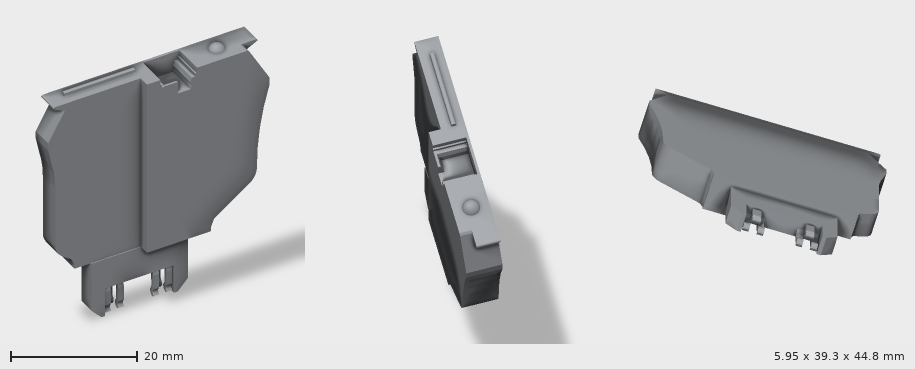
import cadquery as cq


HOUSING_THICK = 5.95
SLIM_THICK = 3.95
HOUSING_TOP = 32.75
SHOULDER_Y = 19.67
SHOULDER_TOP = 26.15
FLANGE_Y = 18.68
FLANGE_EDGE = 0.35
FLANGE_ROUND = 0.3
NECK_Y = 16.63
NECK_Z = 31.4
THICK_FRONT_Y = -2.75
THICK_TOP_BACK_Y = 15.6
BOTTOM_FRONT_Y = -14.88
BOTTOM_BACK_Y = 9.0
BOTTOM_EDGE = 0.76
FRONT_GRIP_Y = -18.37
BACK_SHOULDER_END_Z = 24.5
BACK_SIDE_MID = (18.32, 19.1)
BACK_SIDE_END = (17.4, 9.3)
BACK_CORNER_MID = (17.02, 7.9)
BACK_CORNER_END = (15.9, 6.65)
BACK_SLOPE_END = (9.5, 2.15)
FRONT_SLOPE_START = (-15.35, 2.0)
FRONT_CORNER_START = (-16.7, 2.95)
FRONT_CORNER_MID = (-17.93, 4.15)
FRONT_CORNER_END_Z = 5.76
FRONT_GRIP_TOP_Z = 17.0
FRONT_HOLLOW_MID = (-18.55, 19.45)
FRONT_HOLLOW_END = (-19.05, 21.85)
FRONT_FLARE_END = (-19.6, 24.36)
FRONT_SHOULDER_START_Z = 24.78
THICK_TOP_BREAK = (16.0, 32.5)

RECESS_BACK_Y = 6.39
RECESS_FRONT_Y = -0.3
RECESS_WALL = 0.45
RECESS_FLOOR = HOUSING_TOP - 3.75
STEP_Z = HOUSING_TOP - 1.0
LEDGE_Z = HOUSING_TOP - 1.58
NOSE_Z = HOUSING_TOP - 2.45
GROOVE_Z = HOUSING_TOP - 3.05
STEP_WIDTH = 0.28
LEDGE_WIDTH = 0.9
NOSE_WIDTH = 1.2
GROOVE_WIDTH = 0.95
FLOOR_WIDTH = 1.15

CATCH_BACK_Y = 2.91
CATCH_TOP = HOUSING_TOP - 1.5
CATCH_FRONT_Y = 0.51
CATCH_FOOT_X = 4.9
CATCH_TOP_X = 5.55

RAIL_FRONT_Y = -15.7
RAIL_BACK_Y = -2.75
RAIL_X = 1.84
RAIL_HEIGHT = 0.73
RAIL_CROWN = 0.14
RAIL_HALF = 0.35
RAIL_FOOT_HALF = 0.64
RAIL_HOLLOW = (0.47, 0.05)
RAIL_WALL = (0.38, 0.15)

PLUG_Y = -3.02
PLUG_HALF = 8.84
PLUG_X = 1.04
PLUG_THICK = 3.06
LEG_INNER = 6.3
LEG_TOE = 6.98
PLUG_BOTTOM = -11.1
LEG_CHAMFER_Z = -9.15
PLUG_CEILING = -5.73

CONTACT_OUTER = 6.14
SIDE_FINGER = 1.04
MIDDLE_FINGER = 1.36
CONTACT_WIDTH = 2 * SIDE_FINGER + MIDDLE_FINGER
FINGER_THICK = 0.65
FINGER_OUT = 1.25
OUTER_ROOT = (0.65, PLUG_CEILING)
OUTER_SHOULDER = (1.05, -6.15)
OUTER_STRAIGHT_TOP = (FINGER_OUT, -6.7)
OUTER_STRAIGHT_END = (FINGER_OUT, -9.15)
OUTER_BEND = (1.19, -9.45)
OUTER_BEND_END = (1.02, -9.7)
OUTER_WAIST = (0.93, -9.97)
OUTER_WAIST_END = (1.02, -10.25)
OUTER_TIP = (1.33, -10.6)
INNER_TIP = (0.9, -10.87)
INNER_PINCH = (0.2, -10.0)
INNER_PINCH_TOP = (0.5, -9.28)
INNER_STRAIGHT_END = (FINGER_OUT - FINGER_THICK, -8.96)
INNER_STRAIGHT_TOP = (FINGER_OUT - FINGER_THICK, -6.6)
INNER_SHOULDER = (0.45, -6.1)
INNER_ROOT = (0.1, PLUG_CEILING)

LED_X = 2.97
LED_Y = 11.75
LED_RADIUS = 1.42
LED_HEIGHT = 0.95


def extrude_along_x(profile, start_x, length):
    """Extrude a closed YZ profile from start_x by length."""
    return profile.close().extrude(length).translate((start_x, 0, 0))


def yz_start(y, z):
    return cq.Workplane("YZ").moveTo(y, z)


def box_between(x0, x1, y0, y1, z0, z1):
    return cq.Workplane("XY").box(x1 - x0, y1 - y0, z1 - z0, centered=False).translate((x0, y0, z0))


def body_outline(profile):
    """Continue a profile from the back neck around the bottom to the front neck."""
    return (
        profile
        .lineTo(SHOULDER_Y, SHOULDER_TOP)
        .lineTo(SHOULDER_Y, BACK_SHOULDER_END_Z)
        .threePointArc(BACK_SIDE_MID, BACK_SIDE_END)
        .threePointArc(BACK_CORNER_MID, BACK_CORNER_END)
        .lineTo(*BACK_SLOPE_END)
        .lineTo(BOTTOM_BACK_Y, BOTTOM_EDGE)
        .lineTo(BOTTOM_BACK_Y, 0)
        .lineTo(BOTTOM_FRONT_Y, 0)
        .lineTo(BOTTOM_FRONT_Y, BOTTOM_EDGE)
        .lineTo(*FRONT_SLOPE_START)
        .lineTo(*FRONT_CORNER_START)
        .threePointArc(FRONT_CORNER_MID, (FRONT_GRIP_Y, FRONT_CORNER_END_Z))
        .lineTo(FRONT_GRIP_Y, FRONT_GRIP_TOP_Z)
        .threePointArc(FRONT_HOLLOW_MID, FRONT_HOLLOW_END)
        .lineTo(*FRONT_FLARE_END)
        .lineTo(-SHOULDER_Y, FRONT_SHOULDER_START_Z)
        .lineTo(-SHOULDER_Y, SHOULDER_TOP)
        .lineTo(-NECK_Y, NECK_Z)
    )


def slim_housing():
    """The flanged plate that carries the whole outline."""
    edge_z = HOUSING_TOP - FLANGE_EDGE
    profile = body_outline(yz_start(FLANGE_Y, HOUSING_TOP).lineTo(FLANGE_Y, edge_z).lineTo(NECK_Y, NECK_Z))
    profile = profile.lineTo(-FLANGE_Y, edge_z).lineTo(-FLANGE_Y, HOUSING_TOP)
    plate = extrude_along_x(profile, 0, SLIM_THICK)
    for side in (-1, 1):
        corner = cq.selectors.NearestToPointSelector((SLIM_THICK / 2, side * FLANGE_Y, HOUSING_TOP))
        plate = plate.edges(corner).fillet(FLANGE_ROUND)
    return plate


def thick_block():
    """The block behind the front step, without the flange and with a bevelled top back edge."""
    profile = yz_start(THICK_TOP_BACK_Y, HOUSING_TOP).lineTo(*THICK_TOP_BREAK).lineTo(NECK_Y, NECK_Z)
    profile = body_outline(profile).lineTo(-NECK_Y, HOUSING_TOP)
    block = extrude_along_x(profile, SLIM_THICK, HOUSING_THICK - SLIM_THICK)
    keep = box_between(0, HOUSING_THICK, THICK_FRONT_Y, SHOULDER_Y, 0, HOUSING_TOP)
    return block.intersect(keep)


def recess():
    """Pull recess with stepped, undercut walls that mirror each other along Y."""
    back, front = RECESS_BACK_Y, RECESS_FRONT_Y
    wall = [
        (0, HOUSING_TOP),
        (0, STEP_Z),
        (STEP_WIDTH, STEP_Z),
        (STEP_WIDTH, LEDGE_Z),
        (LEDGE_WIDTH, LEDGE_Z),
        (NOSE_WIDTH, NOSE_Z),
        (GROOVE_WIDTH, NOSE_Z),
        (GROOVE_WIDTH, GROOVE_Z),
        (FLOOR_WIDTH, RECESS_FLOOR),
    ]
    back_wall = [(back - inset, z) for inset, z in wall]
    front_wall = [(front + inset, z) for inset, z in reversed(wall)]
    profile = cq.Workplane("YZ").polyline(back_wall + front_wall)
    return extrude_along_x(profile, RECESS_WALL, HOUSING_THICK - RECESS_WALL)


def catch():
    """Wedge rising from the recess floor beside the front wall."""
    profile = cq.Workplane("XZ").polyline([
        (CATCH_FOOT_X, RECESS_FLOOR),
        (CATCH_TOP_X, CATCH_TOP),
        (HOUSING_THICK, CATCH_TOP),
        (HOUSING_THICK, RECESS_FLOOR),
    ]).close()
    return profile.extrude(CATCH_BACK_Y - CATCH_FRONT_Y).translate((0, CATCH_BACK_Y, 0))


def marker_rail():
    """Rail with a rounded crown and concave feet."""
    crown_z = RAIL_HEIGHT - RAIL_CROWN
    hollow_half, hollow_z = RAIL_HOLLOW
    wall_half, wall_z = RAIL_WALL
    profile = (
        cq.Workplane("XZ").moveTo(-RAIL_FOOT_HALF, 0)
        .threePointArc((-hollow_half, hollow_z), (-wall_half, wall_z))
        .lineTo(-RAIL_HALF, crown_z)
        .threePointArc((0, RAIL_HEIGHT), (RAIL_HALF, crown_z))
        .lineTo(wall_half, wall_z)
        .threePointArc((hollow_half, hollow_z), (RAIL_FOOT_HALF, 0))
        .close()
    )
    rail = profile.extrude(RAIL_BACK_Y - RAIL_FRONT_Y)
    return rail.translate((RAIL_X, RAIL_BACK_Y, HOUSING_TOP))


def plug():
    """Two-legged plug body."""
    right = [
        (PLUG_HALF, 0),
        (PLUG_HALF, LEG_CHAMFER_Z),
        (LEG_TOE, PLUG_BOTTOM),
        (LEG_INNER, PLUG_BOTTOM),
        (LEG_INNER, PLUG_CEILING),
    ]
    left = [(-y, z) for y, z in reversed(right)]
    profile = cq.Workplane("YZ").polyline(right + left)
    return extrude_along_x(profile, PLUG_X, PLUG_THICK).translate((0, PLUG_Y, 0))


def finger(width, side):
    """Bent strip starting at Y = 0 that bulges away from the contact middle plane, towards side along X."""
    def at(point):
        return side * point[0], point[1]

    profile = (
        cq.Workplane("XZ").moveTo(*at(OUTER_ROOT))
        .threePointArc(at(OUTER_SHOULDER), at(OUTER_STRAIGHT_TOP))
        .lineTo(*at(OUTER_STRAIGHT_END))
        .threePointArc(at(OUTER_BEND), at(OUTER_BEND_END))
        .threePointArc(at(OUTER_WAIST), at(OUTER_WAIST_END))
        .lineTo(*at(OUTER_TIP))
        .lineTo(*at(INNER_TIP))
        .threePointArc(at(INNER_PINCH), at(INNER_PINCH_TOP))
        .lineTo(*at(INNER_STRAIGHT_END))
        .lineTo(*at(INNER_STRAIGHT_TOP))
        .threePointArc(at(INNER_SHOULDER), at(INNER_ROOT))
        .close()
    )
    return profile.extrude(-width)


def contacts():
    """Two spring contacts, each with a middle finger bent the opposite way to its side fingers."""
    contact_x = PLUG_X + PLUG_THICK / 2
    fingers = []
    for first_y in (PLUG_Y - CONTACT_OUTER, PLUG_Y + CONTACT_OUTER - CONTACT_WIDTH):
        y = first_y
        for width, side in ((SIDE_FINGER, 1), (MIDDLE_FINGER, -1), (SIDE_FINGER, 1)):
            fingers.append(finger(width, side).translate((contact_x, y, 0)))
            y += width
    return fingers


def build_housing():
    body = slim_housing().union(thick_block()).cut(recess())
    body = body.union(catch()).union(marker_rail()).union(plug())
    for piece in contacts():
        body = body.union(piece)
    return body


def build_led():
    """Spherical cap resting on the top face."""
    sphere_radius = (LED_RADIUS ** 2 + LED_HEIGHT ** 2) / (2 * LED_HEIGHT)
    sphere = cq.Workplane("XY").sphere(sphere_radius).translate((0, 0, LED_HEIGHT - sphere_radius))
    cap_space = cq.Workplane("XY").circle(sphere_radius).extrude(LED_HEIGHT)
    return sphere.intersect(cap_space).translate((LED_X, LED_Y, HOUSING_TOP))


housing = build_housing()
led = build_led()
result = cq.Compound.makeCompound([housing.val(), led.val()])